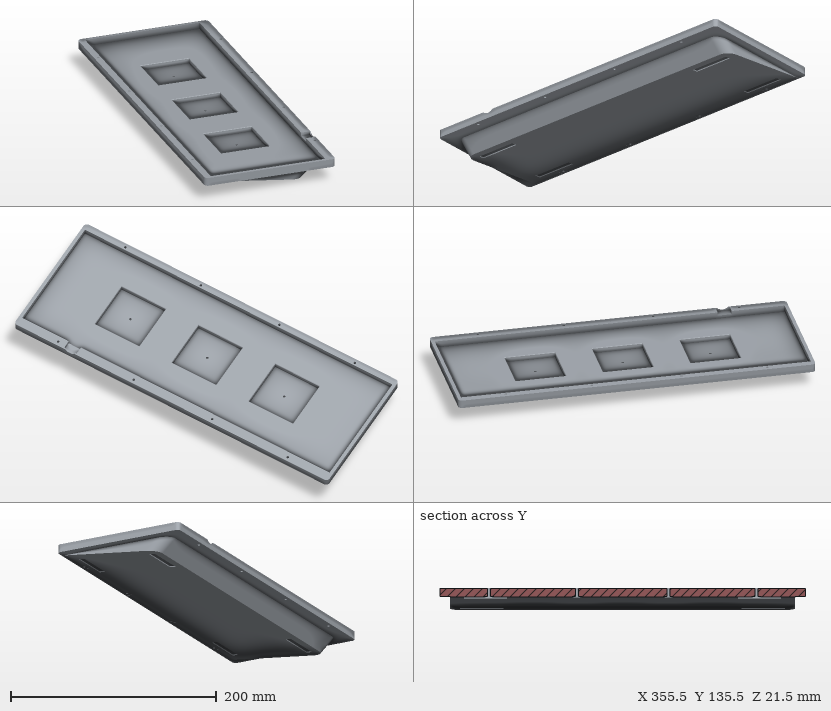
import cadquery as cq
import math

plate_length = 355.5
plate_width = 135.5
plate_thickness = 8.2
plate_corner_radius = 4.0

tray_length = 348.5
tray_front = -60.8
tray_back = 58.0
tray_depth = 6.8

total_height = 21.5
wedge_length = 335.7
wedge_front = -65.8
wedge_lowest = 38.5
wedge_back = 52.5
wedge_corner_radius = 10.0

pocket_count = 3
pocket_side = 50.0
pocket_pitch = 87.0
pocket_y = -1.5
pocket_depth = 5.5
pocket_rim_chamfer = 0.5
pocket_hole_depth = 2.0

hole_diameter = 2.53
inner_hole_x = 44.5
outer_hole_x = 130.0
hole_row_y = 63.5
spotface_diameter = 9.2

notch_x = 114.5
notch_width = 14.0
notch_depth = 3.5
lip_thickness = 1.5
lip_arc_width = 11.7
lip_arc_depth = 2.5

foot_length = 42.0
foot_width = 6.5
foot_depth = 1.0
front_foot_x = 133.5
front_foot_y = -53.5
back_foot_x = 137.0
back_foot_y = 26.5

plate_bottom = -plate_thickness
wedge_bottom = -total_height
tray_floor = -tray_depth
pocket_floor = tray_floor - pocket_depth
underside_angle = math.atan2(total_height - plate_thickness, wedge_lowest - wedge_front)


def block(x_range, y_range, z_range):
    """Box spanning three (low, high) ranges."""
    sizes = [high - low for low, high in (x_range, y_range, z_range)]
    corner = (x_range[0], y_range[0], z_range[0])
    return cq.Workplane("XY").box(*sizes, centered=False).translate(corner)


def centred(middle, size):
    """Range of the given size about a middle value."""
    return (middle - size / 2, middle + size / 2)


def vertical_cylinder(x, y, diameter, low, high):
    return cq.Workplane("XY", origin=(x, y, low)).circle(diameter / 2).extrude(high - low)


def make_plate():
    plate = block(centred(0, plate_length), centred(0, plate_width), (plate_bottom, 0))
    return plate.edges("|Z").fillet(plate_corner_radius)


def make_wedge():
    profile = [(wedge_front, plate_bottom), (wedge_lowest, wedge_bottom), (wedge_back, plate_bottom)]
    wedge = cq.Workplane("YZ").polyline(profile).close().extrude(wedge_length / 2, both=True)
    return wedge.faces(">Y").edges("not |X").fillet(wedge_corner_radius)


def make_tray():
    return block(centred(0, tray_length), (tray_front, tray_back), (tray_floor, 0))


def make_rim_chamfer(x):
    rim_side = pocket_side + 2 * pocket_rim_chamfer
    return (
        cq.Workplane("XY", origin=(x, pocket_y, tray_floor - pocket_rim_chamfer))
        .rect(pocket_side, pocket_side)
        .workplane(offset=pocket_rim_chamfer)
        .rect(rim_side, rim_side)
        .loft(ruled=True)
    )


def make_pocket(x):
    pocket = block(centred(x, pocket_side), centred(pocket_y, pocket_side), (pocket_floor, tray_floor))
    pocket = pocket.union(make_rim_chamfer(x))
    hole_bottom = pocket_floor - pocket_hole_depth
    return pocket.union(vertical_cylinder(x, pocket_y, hole_diameter, hole_bottom, tray_floor))


def make_screw_hole(x, y):
    hole = vertical_cylinder(x, y, hole_diameter, wedge_bottom, 0)
    return hole.union(vertical_cylinder(x, y, spotface_diameter, wedge_bottom, plate_bottom))


def make_cable_notch():
    rim_back = plate_width / 2
    lip_start = rim_back - lip_thickness
    channel = block(centred(notch_x, notch_width), (tray_back, lip_start), (-notch_depth, 0))
    arc_left, arc_right = centred(notch_x, lip_arc_width)
    lip_opening = (
        cq.Workplane("XZ", origin=(0, rim_back, 0))
        .moveTo(arc_left, 0)
        .threePointArc((notch_x, -lip_arc_depth), (arc_right, 0))
        .close()
        .extrude(lip_thickness)
    )
    return channel.union(lip_opening)


def make_foot_recess(x, y):
    underside_z = plate_bottom - (y - wedge_front) * math.tan(underside_angle)
    cutter = cq.Workplane("XY").box(foot_length, foot_width, 2 * foot_depth)
    tilted = cutter.rotate((0, 0, 0), (1, 0, 0), -math.degrees(underside_angle))
    return tilted.translate((x, y, underside_z))


result = make_plate().union(make_wedge()).cut(make_tray()).cut(make_cable_notch())

for index in range(pocket_count):
    result = result.cut(make_pocket((index - (pocket_count - 1) / 2) * pocket_pitch))

for side in (-1, 1):
    for hole_x in (inner_hole_x, outer_hole_x):
        for hole_y in (-hole_row_y, hole_row_y):
            result = result.cut(make_screw_hole(side * hole_x, hole_y))
    result = result.cut(make_foot_recess(side * front_foot_x, front_foot_y))
    result = result.cut(make_foot_recess(side * back_foot_x, back_foot_y))